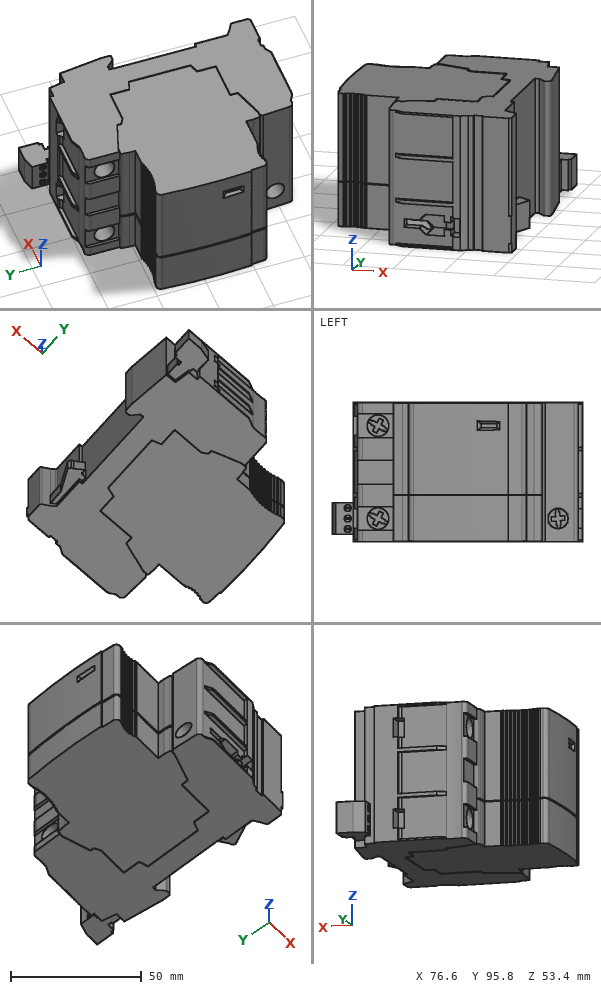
import cadquery as cq
import math


height = 53.4
pole_count = 3
pole_pitch = height / pole_count
pole_centres = [(i + 0.5) * pole_pitch for i in range(pole_count)]
outer_poles = [pole_centres[0], pole_centres[-1]]

terminal_x = 27.2
rail_seat_x = 69.2
rail_side_x = 76.0
body_top_y = 87.85
top_floor_y = 86.3
bottom_floor_y = 1.6
corner_radius = 1.9
foot_radius = 1.0
hook_radius = 0.6

nose_inset = 0.3
shoulder_x = 25.9
shoulder_tip_x = 26.25
shoulder_top_y = 72.5
shoulder_bottom_y = 15.5
shoulder_corner = 0.5
nose_top_y = 66.7
nose_bottom_y = 21.5
nose_corner = 1.9

rib_width = 1.4
panel_end_x = 53.2
bottom_panel_start_x = 29.7
slope_start_x = 35.3

cavity_end_x = 49.5
top_screw_y = 78.4
top_screw_diameter = 8.2
bottom_screw_y = 9.4
bottom_screw_diameter = 7.7
cross_depth = 1.4
top_slot_angle = 28
bottom_slot_angle = 85

notch_start_x = 52.1
notch_end_x = 56.0
notch_width = 7.4
notch_depth = 6.7


def block(x0, x1, y0, y1, z0, z1):
    return cq.Workplane("XY").box(x1 - x0, y1 - y0, z1 - z0, centered=False).translate((x0, y0, z0))


def round_corners(body, radius, corners):
    """Round the upright edges that pass nearest to the given XY corners."""
    for x, y in corners:
        nearest = cq.NearestToPointSelector((x, y, height / 2))
        body = body.edges("|Z").edges(nearest).fillet(radius)
    return body


def make_housing():
    outline = (
        cq.Workplane("XY")
        .moveTo(terminal_x, top_floor_y)
        .lineTo(29.3, top_floor_y)
        .threePointArc((32.3, 86.1), (slope_start_x, top_floor_y))
        .lineTo(38.6, body_top_y)
        .lineTo(63.6, body_top_y)
        .lineTo(63.6, top_floor_y)
        .lineTo(67.9, top_floor_y)
        .lineTo(rail_seat_x, 79.9)
        .lineTo(73.8, 79.9)
        .lineTo(rail_side_x, 62.3)
        .lineTo(rail_side_x, 58.4)
        .lineTo(73.6, 58.4)
        .lineTo(70.8, 61.4)
        .lineTo(rail_seat_x, 61.4)
        .lineTo(rail_seat_x, 26.1)
        .lineTo(70.6, 26.1)
        .lineTo(70.6, 12.8)
        .lineTo(72.5, 11.4)
        .lineTo(rail_side_x, 9.4)
        .lineTo(rail_side_x, bottom_floor_y)
        .lineTo(64.6, bottom_floor_y)
        .lineTo(64.6, 2.5)
        .lineTo(61.0, 2.5)
        .lineTo(61.0, bottom_floor_y)
        .lineTo(59.0, bottom_floor_y)
        .lineTo(56.3, 0)
        .lineTo(34.1, 0)
        .tangentArcPoint((31.4, 1.1), relative=False)
        .lineTo(30.2, bottom_floor_y)
        .lineTo(terminal_x, bottom_floor_y)
        .lineTo(26.3, 14.4)
        .lineTo(terminal_x, 15.7)
        .close()
    )
    body = outline.extrude(height)
    body = round_corners(body, corner_radius, [(terminal_x, top_floor_y), (terminal_x, bottom_floor_y)])
    body = round_corners(body, foot_radius, [(rail_side_x, 9.4), (70.6, 12.8)])
    return round_corners(body, hook_radius, [(rail_side_x, 58.4), (73.6, 58.4)])


grip_rib_pitch = 1.5
grip_rib_start_x = 4.9
grip_rib_width = 0.7
grip_rib_height = 0.3
top_grip = (3.5, 19.35, 1.3, 10)
bottom_grip = (4.0, 13.2, 1.15, 6)


def grip_depth(grip, x):
    """Depth of a circular grip hollow below the flat side at x."""
    start_x, end_x, depth, _ = grip
    half_chord = (end_x - start_x) / 2
    radius = (half_chord**2 + depth**2) / (2 * depth)
    return math.sqrt(radius**2 - (x - start_x - half_chord) ** 2) - radius + depth


def nose_outline():
    top_start, top_end, top_depth, _ = top_grip
    bottom_start, bottom_end, bottom_depth, _ = bottom_grip
    return (
        cq.Workplane("XY")
        .moveTo(0.9, nose_top_y)
        .lineTo(top_start, nose_top_y)
        .threePointArc(((top_start + top_end) / 2, nose_top_y - top_depth), (top_end, nose_top_y))
        .lineTo(shoulder_x, nose_top_y)
        .lineTo(shoulder_x, 69.1)
        .lineTo(shoulder_tip_x, shoulder_top_y)
        .lineTo(28.9, shoulder_top_y)
        .lineTo(40.8, 68.6)
        .lineTo(40.8, 67.0)
        .lineTo(43.3, 65.5)
        .lineTo(56.8, 65.5)
        .lineTo(56.8, 57.9)
        .lineTo(60.6, 56.6)
        .lineTo(60.6, 31.4)
        .lineTo(56.8, 30.2)
        .lineTo(56.8, 22.5)
        .lineTo(40.8, 22.5)
        .lineTo(40.8, 19.4)
        .lineTo(28.55, shoulder_bottom_y)
        .lineTo(shoulder_tip_x, shoulder_bottom_y)
        .lineTo(shoulder_x, 18.7)
        .lineTo(shoulder_x, nose_bottom_y)
        .lineTo(bottom_end, nose_bottom_y)
        .threePointArc(
            ((bottom_start + bottom_end) / 2, nose_bottom_y + bottom_depth), (bottom_start, nose_bottom_y)
        )
        .lineTo(1.6, nose_bottom_y)
        .lineTo(1.1, 28.5)
        .lineTo(0.6, 28.5)
        .threePointArc((0, 45.0), (0.9, nose_top_y))
        .close()
    )


def make_grip_ribs(grip, side_y, outward):
    """Upright ribs standing along the floor of a grip hollow."""
    ribs = cq.Workplane("XY")
    rib_count = grip[-1]
    for i in range(rib_count):
        x = grip_rib_start_x + i * grip_rib_pitch
        floor_y = side_y - outward * grip_depth(grip, x)
        rib = cq.Workplane("XY").box(grip_rib_width, 2 * grip_rib_height, height - 2 * nose_inset)
        ribs = ribs.union(rib.translate((x, floor_y, height / 2)))
    return ribs


def make_nose():
    nose = nose_outline().extrude(height - 2 * nose_inset).translate((0, 0, nose_inset))
    nose = round_corners(nose, nose_corner, [(0.9, nose_top_y), (1.6, nose_bottom_y)])
    shoulder_tips = [(shoulder_tip_x, shoulder_top_y), (shoulder_tip_x, shoulder_bottom_y)]
    nose = round_corners(nose, shoulder_corner, shoulder_tips)
    nose = nose.union(make_grip_ribs(top_grip, nose_top_y, 1))
    return nose.union(make_grip_ribs(bottom_grip, nose_bottom_y, -1))


def make_nose_groove():
    """Shallow parting groove around the exposed part of the nose."""
    groove_width = 0.3
    groove_depth = 0.4
    groove_z = 17.8
    core = nose_outline().offset2D(-groove_depth).extrude(groove_width)
    ring = nose_outline().extrude(groove_width).cut(core).translate((0, 0, groove_z))
    return ring.intersect(block(0, terminal_x, 0, body_top_y, 0, height))


def make_nose_window():
    """Tapered window sunk in the nose face."""
    centre_y = 35.8
    centre_z = pole_centres[-1]
    mouth_length = 9.0
    mouth_width = 3.7
    floor_length = 5.8
    floor_width = 1.4
    depth = 1.4
    return (
        cq.Workplane("YZ", origin=(0, centre_y, centre_z))
        .rect(mouth_length, mouth_width)
        .workplane(offset=depth)
        .rect(floor_length, floor_width)
        .loft(combine=True)
    )


def panel_bands():
    """Z ranges of the recessed panels between neighbouring ribs."""
    for centre in pole_centres:
        half = (pole_pitch - rib_width) / 2
        yield centre - half, centre + half


def make_bottom_panels():
    panels = cq.Workplane("XY")
    for z0, z1 in panel_bands():
        panels = panels.union(block(bottom_panel_start_x, panel_end_x, 0, bottom_floor_y, z0, z1))
    return panels


def make_top_panels():
    """Panels on the upper side, closed by an end wall of two slopes."""
    bend_y = 87.2
    bend_x = panel_end_x + bend_y - top_floor_y
    wall_end_x = bend_x + 0.3
    panels = cq.Workplane("XY")
    for z0, z1 in panel_bands():
        panel = (
            cq.Workplane("XY", origin=(0, 0, z0))
            .moveTo(slope_start_x, top_floor_y)
            .lineTo(panel_end_x, top_floor_y)
            .lineTo(bend_x, bend_y)
            .lineTo(wall_end_x, body_top_y)
            .lineTo(slope_start_x, body_top_y)
            .close()
            .extrude(z1 - z0)
        )
        panels = panels.union(panel)
    return panels


def make_notches():
    half = notch_width / 2
    z = pole_centres[0]
    notches = block(notch_start_x, notch_end_x, 0, notch_depth, z - half, z + half)
    for z in outer_poles:
        notches = notches.union(
            block(notch_start_x, notch_end_x, body_top_y - notch_depth, body_top_y, z - half, z + half)
        )
    return notches


def make_terminal_windows():
    """Shallow window in the upper terminal face at every pole."""
    width = 9.1
    depth = 1.15
    windows = cq.Workplane("XY")
    for z in pole_centres:
        windows = windows.union(
            block(shoulder_x, terminal_x + depth, shoulder_top_y, body_top_y, z - width / 2, z + width / 2)
        )
    return windows


def make_screw_well(y, z, diameter, slot_angle):
    """Screw well along X with a slotted cross recess in its end."""
    arm_width = 1.7
    slot_width = 1.15
    cross_length = 0.67 * diameter
    slot_length = 0.96 * diameter
    well_length = cavity_end_x - shoulder_x
    well = cq.Workplane("YZ", origin=(shoulder_x, y, z)).circle(diameter / 2).extrude(well_length)
    recess = (
        cq.Workplane("YZ")
        .rect(cross_length, arm_width)
        .extrude(cross_depth)
        .union(cq.Workplane("YZ").rect(arm_width, cross_length).extrude(cross_depth))
        .union(cq.Workplane("YZ").rect(slot_length, slot_width).extrude(cross_depth))
        .rotate((0, 0, 0), (1, 0, 0), slot_angle)
        .translate((cavity_end_x, y, z))
    )
    return well.union(recess)


def make_keyhole():
    """Wire entry with a narrow end, a wide end and a round-edged slot to the notch."""
    z = pole_centres[0]
    narrow = 1.6
    wide = 4.0
    narrow_start_x = 33.5
    taper_start_x = 39.6
    taper_end_x = 42.2
    depth = bottom_screw_y + bottom_screw_diameter / 2
    mouth = (
        cq.Workplane("XZ")
        .moveTo(narrow_start_x, z - narrow)
        .lineTo(taper_start_x, z - narrow)
        .lineTo(taper_end_x, z - wide)
        .lineTo(cavity_end_x, z - wide)
        .lineTo(cavity_end_x, z + wide)
        .lineTo(taper_end_x, z + wide)
        .lineTo(taper_start_x, z + narrow)
        .lineTo(narrow_start_x, z + narrow)
        .close()
        .extrude(-depth)
    )
    slot_floor_y = 3.5
    slot_half = 1.485
    slot_rounding = 0.8
    slot = block(cavity_end_x, notch_start_x, 0, slot_floor_y, z - slot_half, z + slot_half)
    bar = block(cavity_end_x, notch_start_x, slot_floor_y, 2 * slot_floor_y, z - slot_half, z + slot_half)
    rounded_bar = bar.edges("|Z and <Y").fillet(slot_rounding)
    slot = slot.union(bar.cut(rounded_bar))
    return mouth.union(slot)


clip_z0 = 3.6
clip_z1 = 14.6


def make_clip():
    return (
        cq.Workplane("XY", origin=(0, 0, clip_z0))
        .moveTo(rail_seat_x, 26.1)
        .lineTo(rail_seat_x, 28.2)
        .lineTo(71.3, 28.2)
        .lineTo(71.3, 30.3)
        .lineTo(74.9, 27.6)
        .lineTo(75.9, 27.3)
        .lineTo(76.6, 26.2)
        .lineTo(72.6, 17.6)
        .lineTo(72.5, 11.4)
        .lineTo(70.6, 12.8)
        .lineTo(70.6, 26.1)
        .close()
        .extrude(clip_z1 - clip_z0)
    )


def make_rail_chamfers():
    """Small chamfer on the lower rail corner, left out where the clip runs."""
    size = 0.9
    wedge = cq.Workplane("XY").polyline(
        [
            (rail_side_x - size, bottom_floor_y),
            (rail_side_x, bottom_floor_y),
            (rail_side_x, bottom_floor_y + size),
        ]
    )
    wedge = wedge.close().extrude(height)
    return wedge.cut(block(rail_seat_x, rail_side_x, 0, bottom_floor_y + size, clip_z0, clip_z1))


plug_face_x = 65.1
plug_width = 12.2


def make_plug():
    plug = (
        cq.Workplane("XY", origin=(0, 0, pole_centres[0] - plug_width / 2))
        .moveTo(plug_face_x, 94.5)
        .lineTo(69.9, 95.8)
        .lineTo(76.4, 95.8)
        .lineTo(76.4, 87.85)
        .lineTo(75.4, 87.85)
        .lineTo(75.4, 86.7)
        .lineTo(72.2, 86.7)
        .lineTo(72.2, 85.3)
        .lineTo(73.0, 85.3)
        .lineTo(73.0, 79.9)
        .lineTo(rail_seat_x, 79.9)
        .lineTo(67.9, 86.3)
        .lineTo(67.2, 86.7)
        .lineTo(67.2, 87.85)
        .lineTo(plug_face_x, 87.85)
        .close()
        .extrude(plug_width)
    )
    screw_y = 90.0
    screw_pitch = 4.0
    screw_diameter = 2.6
    sink = 0.5
    slot_width = 0.5
    for i in (-1, 0, 1):
        z = pole_centres[0] + i * screw_pitch
        seat = cq.Workplane("YZ", origin=(plug_face_x, screw_y, z))
        plug = plug.cut(seat.circle(screw_diameter / 2).extrude(sink))
        plug = plug.cut(seat.rect(0.9 * screw_diameter, slot_width).extrude(2 * sink))
    return plug


housing = make_housing().cut(nose_outline().extrude(height))
housing = housing.cut(make_bottom_panels()).cut(make_top_panels())
housing = housing.cut(make_terminal_windows()).cut(make_rail_chamfers())

body = housing.union(make_nose()).cut(make_nose_groove()).cut(make_nose_window())
body = body.cut(make_notches()).cut(make_keyhole())
for pole_z in outer_poles:
    body = body.cut(make_screw_well(top_screw_y, pole_z, top_screw_diameter, top_slot_angle))
bottom_well = make_screw_well(bottom_screw_y, pole_centres[0], bottom_screw_diameter, bottom_slot_angle)
body = body.cut(bottom_well)

result = body.union(make_clip()).union(make_plug())